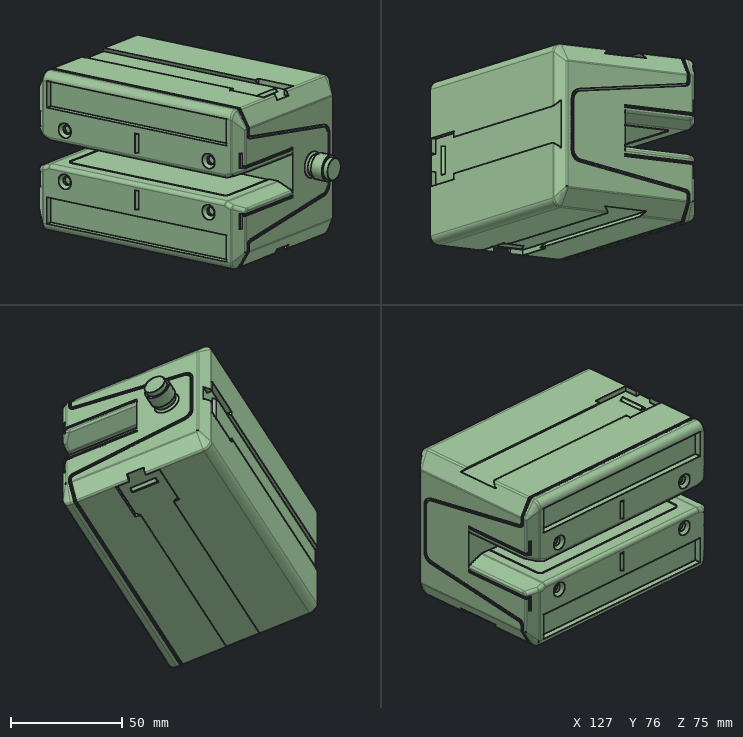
import cadquery as cq
LENGTH = 115.0
SIDE = 75.0
CORNER_RADIUS = 4.0
TAPER_LENGTH = 5.0
TAPER_Y = 4.2
TAPER_Z = 8.5
END_CORNER_RADIUS = 0.7
TAPER_BLEND = 1.2
SNAP = 0.1
CLEARANCE = 1.0
HALF_LENGTH = LENGTH / 2
HALF_SIDE = SIDE / 2
FRONT = -HALF_SIDE

SLOT_BACK_Y = 2.5
SLOT_HALF_HEIGHT = 5.4
SLOT_MOUTH_HALF_HEIGHT = 8.6
FLARE_START_X = 49.2
SLOT_EDGE_RADIUS = 2.0
MOUTH_EDGE_RADIUS = 1.2
FLARE_BLEND = 1.5

PAD_HALF_LENGTH = 44.2
PAD_FRONT_Y = -29.5
PAD_DEPTH = 0.3
PAD_RADIUS = 2.0

LINER_GAP_INNER_Z = 10.7
LINER_GAP_OUTER_Z = 11.7
LINER_GAP_DEPTH = 1.2
LINER_TOP_Z = 17.7
LINER_STEP_X = 55.4
LINER_STEP_Y = -34.3

WINDOW_HALF_LENGTH = 50.0
WINDOW_BOTTOM_Z = 21.0
WINDOW_TOP_Z = HALF_SIDE - CORNER_RADIUS
WINDOW_DEPTH = 3.0
SCREW_X = 40.0
SCREW_Z = 12.0
SCREW_OUTER_RADIUS = 3.5
SCREW_INNER_RADIUS = 2.0
SCREW_CONE_DEPTH = 1.6
SCREW_HOLE_DEPTH = 3.0
RIB_WIDTH = 2.2
RIB_HEIGHT = 1.0
RIB_BOTTOM_Z = 8.9

GROOVE_WIDTH = 1.0
GROOVE_DEPTH = 0.5
COVER_Y = -31.6
TONGUE_ROOT_Z = 24.0
TONGUE_TIP_Y = 29.6
TONGUE_TIP_Z = 15.2
TONGUE_ROOT_RADIUS = 2.5
TONGUE_TIP_RADIUS = 4.0

CHANNEL_DEPTH = 2.5
CHANNEL_HALF_WIDTH = 8.35
POCKET_START_X = 32.3
POCKET_END_X = 51.5
POCKET_HALF_WIDTH = 11.0
EXIT_HALF_WIDTH = 4.2
LATCH_X = 44.9
LATCH_LENGTH = 2.8
LATCH_HALF_WIDTH = 6.4
LATCH_HEIGHT = 1.3

CONNECTOR_Y = 17.7
CONNECTOR_NUT_RADIUS = 6.1
CONNECTOR_RADIUS = 5.1
COLLAR_END_X = 58.6
NUT_START_X = 61.0
NUT_END_X = 67.0
CONNECTOR_END_X = 69.5


def box(x0, x1, y0, y1, z0, z1):
    """Axis-aligned box given by its limits."""
    return cq.Workplane("XY").box(x1 - x0, y1 - y0, z1 - z0, centered=False).translate((x0, y0, z0))


def block(inset):
    """Rounded block with tapered ends, every flat face moved in by the inset."""
    side = SIDE - 2 * inset
    end_x = HALF_LENGTH - inset
    shoulder_x = HALF_LENGTH - TAPER_LENGTH - inset / 2
    shoulder = cq.Sketch().rect(side, side).vertices().fillet(CORNER_RADIUS)
    end = cq.Sketch().rect(side - 2 * TAPER_Y, side - 2 * TAPER_Z).vertices().fillet(END_CORNER_RADIUS)
    middle = cq.Workplane("YZ", origin=(-shoulder_x, 0, 0))
    solid = middle.placeSketch(shoulder).extrude(2 * shoulder_x)
    for sign in (-1, 1):
        plane = cq.Workplane("YZ", origin=(sign * shoulder_x, 0, 0))
        offset = cq.Location(cq.Vector(0, 0, sign * (end_x - shoulder_x)))
        solid = solid.union(plane.placeSketch(shoulder, end.moved(offset)).loft(ruled=True))
    return solid


def edges_centred_in(x0, x1, y0, y1, z0, z1):
    """Selector for edges whose centres lie within the given limits."""
    return cq.selectors.BoxSelector((x0, y0, z0), (x1, y1, z1))


def slot_outline():
    """Outline of the slot in XZ, which flares open towards both ends."""
    rise = (SLOT_MOUTH_HALF_HEIGHT - SLOT_HALF_HEIGHT) / (HALF_LENGTH - FLARE_START_X)
    reach = HALF_LENGTH + CLEARANCE
    reach_height = SLOT_HALF_HEIGHT + rise * (reach - FLARE_START_X)
    corners = [
        (-reach, -reach_height),
        (-FLARE_START_X, -SLOT_HALF_HEIGHT),
        (FLARE_START_X, -SLOT_HALF_HEIGHT),
        (reach, -reach_height),
        (reach, reach_height),
        (FLARE_START_X, SLOT_HALF_HEIGHT),
        (-FLARE_START_X, SLOT_HALF_HEIGHT),
        (-reach, reach_height),
    ]
    return cq.Workplane("XZ", origin=(0, SLOT_BACK_Y, 0)).polyline(corners).close()


def cut_slot(body):
    """Fork slot whose faces turn smoothly into the flares."""
    slot = slot_outline().extrude(SLOT_BACK_Y + SIDE)
    flare_edges = cq.selectors.BoxSelector(
        (-FLARE_START_X - SNAP, -SIDE, -SIDE),
        (FLARE_START_X + SNAP, SIDE, SIDE),
    )
    slot = slot.edges("|Y").edges(flare_edges).fillet(FLARE_BLEND)
    return body.cut(slot)


def round_slot_edges(body):
    """Round the front edges of the slot, then its edges on the two end faces."""
    reach_z = SLOT_MOUTH_HALF_HEIGHT + CLEARANCE
    front = edges_centred_in(-HALF_LENGTH, HALF_LENGTH, FRONT - SNAP, LINER_STEP_Y, -reach_z, reach_z)
    body = body.edges(front).fillet(SLOT_EDGE_RADIUS)
    ends = None
    for x in (-HALF_LENGTH, HALF_LENGTH):
        end = edges_centred_in(x - SNAP, x + SNAP, FRONT / 2, 0, -reach_z, reach_z)
        ends = end if ends is None else ends + end
    return body.edges(ends).fillet(MOUTH_EDGE_RADIUS)


def blend_tapers(body):
    """Blend the tapered ends into the sides and the end faces."""
    slot_zone = cq.selectors.BoxSelector(
        (-LENGTH, -SIDE, -LINER_GAP_INNER_Z),
        (LENGTH, SIDE, LINER_GAP_INNER_Z),
        boundingbox=True,
    )
    loops = None
    for x in (HALF_LENGTH - TAPER_LENGTH, HALF_LENGTH):
        for loop_x in (-x, x):
            loop = cq.selectors.BoxSelector(
                (loop_x - SNAP, -SIDE, -SIDE),
                (loop_x + SNAP, SIDE, SIDE),
                boundingbox=True,
            )
            loops = loop if loops is None else loops + loop
    return body.edges(loops - slot_zone).fillet(TAPER_BLEND)


def cut_slot_pads(body):
    """Shallow rounded recess in the upper and the lower slot face."""
    half_height = SLOT_HALF_HEIGHT + PAD_DEPTH
    pad = box(-PAD_HALF_LENGTH, PAD_HALF_LENGTH, PAD_FRONT_Y, SLOT_BACK_Y, -half_height, half_height)
    return body.cut(pad.edges("|Z and <Y").fillet(PAD_RADIUS))


def cut_liner_gaps(body):
    """Gap beside the slot mouth on each end, stepping up along the front taper."""
    beyond = HALF_LENGTH + CLEARANCE
    gap_x = HALF_LENGTH - LINER_GAP_DEPTH
    gap = box(gap_x, beyond, LINER_STEP_Y, SLOT_BACK_Y, LINER_GAP_INNER_Z, LINER_GAP_OUTER_Z)
    step = box(LINER_STEP_X, beyond, FRONT, LINER_STEP_Y, LINER_GAP_INNER_Z, LINER_TOP_Z)
    corner = gap.union(step)
    corners = corner.union(corner.mirror("YZ"))
    return body.cut(corners).cut(corners.mirror("XY"))


def front_cover_prism():
    """Prism along X over the front cover, with its tapered tongue reaching to the back."""
    corners = [
        (COVER_Y, SIDE),
        (COVER_Y, TONGUE_ROOT_Z),
        (TONGUE_TIP_Y, TONGUE_TIP_Z),
        (TONGUE_TIP_Y, -TONGUE_TIP_Z),
        (COVER_Y, -TONGUE_ROOT_Z),
        (COVER_Y, -SIDE),
        (-SIDE, -SIDE),
        (-SIDE, SIDE),
    ]
    prism = cq.Workplane("YZ", origin=(-LENGTH, 0, 0)).polyline(corners).close().extrude(2 * LENGTH)
    root_z = TONGUE_ROOT_Z + SNAP
    root = edges_centred_in(-LENGTH, LENGTH, COVER_Y - SNAP, COVER_Y + SNAP, -root_z, root_z)
    prism = prism.edges("|X").edges(root).fillet(TONGUE_ROOT_RADIUS)
    return prism.edges("|X").edges(">Y").fillet(TONGUE_TIP_RADIUS)


def cut_parting_groove(body):
    """Shallow groove of constant width along the rear edge of the front cover."""
    cover = front_cover_prism()
    grown = cover.faces("<X").wires().toPending().offset2D(GROOVE_WIDTH).extrude(2 * LENGTH)
    groove = grown.cut(cover).cut(block(GROOVE_DEPTH))
    return body.cut(groove)


def mounting_channel():
    """Cutter for the channel in the top face, with its latch left standing."""
    floor_z = HALF_SIDE - CHANNEL_DEPTH
    beyond = HALF_LENGTH + CLEARANCE
    floor_half_width = CHANNEL_HALF_WIDTH + CHANNEL_DEPTH
    dovetail = (
        cq.Workplane("YZ", origin=(-beyond, 0, 0))
        .moveTo(-floor_half_width, floor_z)
        .lineTo(floor_half_width, floor_z)
        .lineTo(CHANNEL_HALF_WIDTH, HALF_SIDE)
        .lineTo(-CHANNEL_HALF_WIDTH, HALF_SIDE)
        .close()
        .extrude(beyond + POCKET_START_X)
    )
    pocket = box(POCKET_START_X, POCKET_END_X, -POCKET_HALF_WIDTH, POCKET_HALF_WIDTH, floor_z, HALF_SIDE)
    outlet = box(POCKET_END_X, beyond, -EXIT_HALF_WIDTH, EXIT_HALF_WIDTH, floor_z, HALF_SIDE)
    latch = (
        cq.Workplane("XZ", origin=(0, LATCH_HALF_WIDTH, 0))
        .moveTo(LATCH_X - LATCH_LENGTH / 2, floor_z)
        .lineTo(LATCH_X + LATCH_LENGTH / 2, floor_z)
        .lineTo(LATCH_X, floor_z + LATCH_HEIGHT)
        .close()
        .extrude(2 * LATCH_HALF_WIDTH)
    )
    return dovetail.union(pocket).union(outlet).cut(latch)


def cut_mounting_channels(body):
    """The same channel in the top, the bottom and the back."""
    channel = mounting_channel()
    for turn in (0, 180, -90):
        body = body.cut(channel.rotate((0, 0, 0), (1, 0, 0), turn))
    return body


def cut_windows(body):
    """Long recessed window in the front of each fork arm."""
    floor_y = FRONT + WINDOW_DEPTH
    window = box(-WINDOW_HALF_LENGTH, WINDOW_HALF_LENGTH, FRONT, floor_y, WINDOW_BOTTOM_Z, WINDOW_TOP_Z)
    return body.cut(window).cut(window.mirror("XY"))


def cut_screw_holes(body):
    """Countersunk blind holes in the front of each fork arm."""
    hole = (
        cq.Workplane("XY", origin=(0, FRONT, 0))
        .lineTo(SCREW_OUTER_RADIUS, 0)
        .lineTo(SCREW_INNER_RADIUS, SCREW_CONE_DEPTH)
        .lineTo(SCREW_INNER_RADIUS, SCREW_HOLE_DEPTH)
        .lineTo(0, SCREW_HOLE_DEPTH)
        .close()
        .revolve(360, (0, 0, 0), (0, 1, 0))
    )
    for x in (-SCREW_X, SCREW_X):
        for z in (-SCREW_Z, SCREW_Z):
            body = body.cut(hole.translate((x, 0, z)))
    return body


def add_centre_ribs(body):
    """V-shaped marker rib at mid-length on each fork arm."""
    rib = (
        cq.Workplane("XY", origin=(0, 0, RIB_BOTTOM_Z))
        .moveTo(-RIB_WIDTH / 2, FRONT)
        .lineTo(0, FRONT - RIB_HEIGHT)
        .lineTo(RIB_WIDTH / 2, FRONT)
        .close()
        .extrude(LINER_TOP_Z - RIB_BOTTOM_Z)
    )
    return body.union(rib).union(rib.mirror("XY"))


def connector():
    """Turned connector: conical collar, stem, nut and threaded end."""
    return (
        cq.Workplane("XY", origin=(0, CONNECTOR_Y, 0))
        .moveTo(HALF_LENGTH, 0)
        .lineTo(HALF_LENGTH, CONNECTOR_NUT_RADIUS)
        .lineTo(COLLAR_END_X, CONNECTOR_RADIUS)
        .lineTo(NUT_START_X, CONNECTOR_RADIUS)
        .lineTo(NUT_START_X, CONNECTOR_NUT_RADIUS)
        .lineTo(NUT_END_X, CONNECTOR_NUT_RADIUS)
        .lineTo(NUT_END_X, CONNECTOR_RADIUS)
        .lineTo(CONNECTOR_END_X, CONNECTOR_RADIUS)
        .lineTo(CONNECTOR_END_X, 0)
        .close()
        .revolve(360, (0, 0, 0), (1, 0, 0))
    )


housing = blend_tapers(round_slot_edges(cut_slot(block(0))))
housing = cut_slot_pads(housing)
housing = cut_liner_gaps(housing)
housing = cut_parting_groove(housing)
housing = cut_mounting_channels(housing)
housing = cut_windows(housing)
housing = cut_screw_holes(housing)
housing = add_centre_ribs(housing)
result = housing.union(connector())